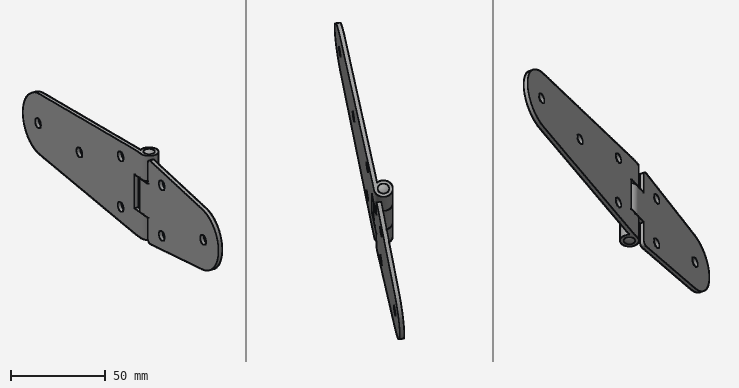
import cadquery as cq
import math


long_reach = 115.0
overall_length = 190
short_reach = overall_length - long_reach
end_radius = 18.0
leaf_thickness = 2.5
leaf_height = 50.1
corner_radius = 2.0

barrel_diameter = 10.0
barrel_radius = barrel_diameter / 2
middle_knuckle_height = 20.1
barrel_gap = 1.5
pin_diameter = 6.0
pin_length = 52.0

hole_diameter = 5.5
hole_pitch = 40.0
near_hole_distance = 20.0
pair_spacing = 30.0

leaf_back = -barrel_radius
knuckle_clearance = barrel_radius + barrel_gap
half_height = leaf_height / 2
near_pair = [(near_hole_distance, side * pair_spacing / 2) for side in (-1, 1)]


def z_cylinder(radius, height):
    return cq.Workplane("XY").circle(radius).extrude(height / 2, both=True)


def tapered_plate(reach, root, taper_start, holes):
    """Plate along +X, straight from root to taper_start, then tapering to a tangent round tip."""
    center_x = reach - end_radius
    run = center_x - taper_start
    angle = math.atan2(half_height, run)
    tangent_angle = math.pi - angle - math.acos(end_radius / math.hypot(run, half_height))
    tangent_x = center_x + end_radius * math.cos(tangent_angle)
    tangent_z = end_radius * math.sin(tangent_angle)

    outline = cq.Workplane("XZ", origin=(0, leaf_back, 0)).moveTo(root, -half_height)
    if taper_start > root:
        outline = outline.lineTo(taper_start, -half_height)
    outline = (
        outline.lineTo(tangent_x, -tangent_z)
        .threePointArc((reach, 0), (tangent_x, tangent_z))
        .lineTo(taper_start, half_height)
    )
    if taper_start > root:
        outline = outline.lineTo(root, half_height)
    plate = outline.close().extrude(-leaf_thickness)
    drills = (
        cq.Workplane("XZ", origin=(0, leaf_back, 0))
        .pushPoints(holes)
        .circle(hole_diameter / 2)
        .extrude(-leaf_thickness)
    )
    return plate.cut(drills)


def make_long_leaf():
    holes = near_pair + [(near_hole_distance + step * hole_pitch, 0) for step in (1, 2)]
    plate = tapered_plate(long_reach, 0, barrel_radius, holes).mirror("YZ")
    leaf = plate.union(z_cylinder(barrel_radius, leaf_height))
    opening = cq.Workplane("XY").box(2 * knuckle_clearance, 2 * barrel_diameter, middle_knuckle_height)
    return leaf.cut(opening).cut(z_cylinder(pin_diameter / 2, leaf_height))


def make_short_leaf():
    holes = near_pair + [(near_hole_distance + hole_pitch, 0)]
    plate = tapered_plate(short_reach, knuckle_clearance, knuckle_clearance, holes)
    corners = cq.selectors.BoxSelector(
        (knuckle_clearance - corner_radius, -barrel_diameter, -leaf_height),
        (knuckle_clearance + corner_radius, barrel_diameter, leaf_height),
    )
    plate = plate.edges("|Y").edges(corners).fillet(corner_radius)
    strip = cq.Workplane("XY", origin=(0, leaf_back, 0)).box(
        knuckle_clearance, leaf_thickness, middle_knuckle_height, centered=(False, False, True)
    )
    knuckle = z_cylinder(barrel_radius, middle_knuckle_height)
    return plate.union(strip).union(knuckle).cut(z_cylinder(pin_diameter / 2, leaf_height))


def make_pin():
    """Round pin with a shallow spherical dome standing out of each end of the barrel."""
    pin_radius = pin_diameter / 2
    half_pin = pin_length / 2
    dome_height = half_pin - half_height
    dome_radius = (pin_radius**2 + dome_height**2) / (2 * dome_height)
    dome_center = half_pin - dome_radius
    mid_angle = math.asin(pin_radius / dome_radius) / 2
    mid_x = dome_radius * math.sin(mid_angle)
    mid_z = dome_center + dome_radius * math.cos(mid_angle)
    return (
        cq.Workplane("XZ")
        .moveTo(0, -half_pin)
        .threePointArc((mid_x, -mid_z), (pin_radius, -half_height))
        .lineTo(pin_radius, half_height)
        .threePointArc((mid_x, mid_z), (0, half_pin))
        .close()
        .revolve(360, (0, 0), (0, 1))
    )


long_leaf = make_long_leaf()
short_leaf = make_short_leaf()
pin = make_pin()

result = cq.Compound.makeCompound([long_leaf.val(), short_leaf.val(), pin.val()])